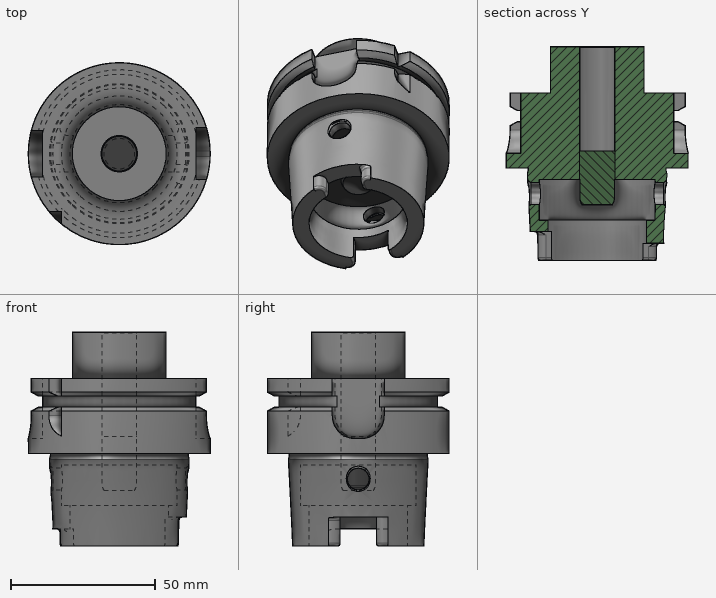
import cadquery as cq
import math

FLANGE_TOP = 26.0
BOSS_TOP = 42.0
SHANK_END = -32.0

FLANGE_RADIUS = 63.0 / 2
BOSS_RADIUS = 32.5 / 2
GROOVE_RADIUS = 55.0 / 2
GROOVE_BOTTOM = 16.1
GROOVE_TOP = 19.9
BEVEL_HEIGHT = 1.4
BEVEL_ANGLE = 60.0
BEVEL_RADIUS = FLANGE_RADIUS - BEVEL_HEIGHT * math.tan(math.radians(BEVEL_ANGLE))

NECK_RADIUS = 47.83 / 2
NECK_END = -0.75
TAPER_START = -2.0
TAPER_START_RADIUS = 48.44 / 2
TAPER_RATIO = 9.98
SHANK_END_RADIUS = TAPER_START_RADIUS + (SHANK_END - TAPER_START) / (2 * TAPER_RATIO)
CAVITY_MOUTH_RADIUS = 34.0 / 2
CAVITY_MOUTH_TOP = -18.0
CAVITY_RADIUS = 40.0 / 2
CAVITY_CEILING = -4.0

BORE_RADIUS = 12.0 / 2
BORE_CHAMFER = 0.3
PLUG_TOP = 6.0
PLUG_STRAIGHT_END = -10.95
PLUG_SHOULDER_RADIUS = 11.6 / 2
PLUG_SHOULDER_END = -11.65
PLUG_TIP_RADIUS = 10.6 / 2
PLUG_TIP_END = -12.7

SLOT_FLOOR_X = 26.5
SLOT_CUTTER_RADIUS = 8.0
SLOT_BOTTOM = 5.2
LEFT_SLOT_WIDTH = 16.0
RIGHT_SLOT_WIDTH = 18.0
NOTCH_WALL = 20.0

ACCESS_Z = -8.8
ACCESS_RADIUS = 7.5 / 2
ACCESS_CHAMFER_RADIUS = 8.9 / 2
ACCESS_CHAMFER_START = 23.0
ACCESS_CHAMFER_DEPTH = 0.9

KEYWAY_WIDTH = 12.54
KEYWAY_MOUTH_WIDTH = 20.6
LEFT_KEYWAY_DEPTH = 6.0
RIGHT_KEYWAY_DEPTH = 10.0
KEYWAY_LIP_RADIUS = 2.75
KEYWAY_ROOT_FILLET = 1.2
KEYWAY_END_FILLET = 1.0

CLEARANCE = 5.0
OUTSIDE = FLANGE_RADIUS + CLEARANCE


def turned_blank():
    """Boss, grooved flange and tapered shank, with the shank cavity and the tool bore."""
    outline = [
        (0, BOSS_TOP),
        (BOSS_RADIUS, BOSS_TOP),
        (BOSS_RADIUS, FLANGE_TOP),
        (FLANGE_RADIUS, FLANGE_TOP),
        (FLANGE_RADIUS, GROOVE_TOP + BEVEL_HEIGHT),
        (BEVEL_RADIUS, GROOVE_TOP),
        (GROOVE_RADIUS, GROOVE_TOP),
        (GROOVE_RADIUS, GROOVE_BOTTOM),
        (BEVEL_RADIUS, GROOVE_BOTTOM),
        (FLANGE_RADIUS, GROOVE_BOTTOM - BEVEL_HEIGHT),
        (FLANGE_RADIUS, 0),
        (NECK_RADIUS, 0),
        (NECK_RADIUS, NECK_END),
        (TAPER_START_RADIUS, TAPER_START),
        (SHANK_END_RADIUS, SHANK_END),
        (CAVITY_MOUTH_RADIUS, SHANK_END),
        (CAVITY_MOUTH_RADIUS, CAVITY_MOUTH_TOP),
        (CAVITY_RADIUS, CAVITY_MOUTH_TOP),
        (CAVITY_RADIUS, CAVITY_CEILING),
        (0, CAVITY_CEILING),
    ]
    blank = cq.Workplane("XZ").polyline(outline).close().revolve(360, (0, 0), (0, 1))
    bore = cq.Workplane("XY").workplane(offset=CAVITY_CEILING)
    bore = bore.circle(BORE_RADIUS).extrude(BOSS_TOP - CAVITY_CEILING)
    blank = blank.cut(bore)
    return blank.faces(">Z").edges("%CIRCLE").edges(cq.selectors.RadiusNthSelector(0)).chamfer(BORE_CHAMFER)


def gripper_slot(side, floor_x, y_center, width):
    """Round-bottomed slot, open at the top, from |x| = floor_x outward on the given side."""
    half = width / 2
    flat_half = half - SLOT_CUTTER_RADIUS
    corner_z = SLOT_BOTTOM + SLOT_CUTTER_RADIUS
    diagonal = SLOT_CUTTER_RADIUS * math.sqrt(0.5)
    middle_y = flat_half + diagonal
    middle_z = corner_z - diagonal
    profile = (
        cq.Workplane("YZ", origin=(side * floor_x, y_center, 0))
        .moveTo(-half, FLANGE_TOP)
        .lineTo(-half, corner_z)
        .threePointArc((-middle_y, middle_z), (-flat_half, SLOT_BOTTOM))
    )
    if flat_half > 0:
        profile = profile.lineTo(flat_half, SLOT_BOTTOM)
    profile = profile.threePointArc((middle_y, middle_z), (half, corner_z)).lineTo(half, FLANGE_TOP)
    return profile.close().extrude(side * (OUTSIDE - floor_x))


def access_hole(side):
    """Countersunk radial hole from the axis outward."""
    direction = cq.Vector(side, 0, 0)
    hole = cq.Solid.makeCylinder(ACCESS_RADIUS, OUTSIDE, cq.Vector(0, 0, ACCESS_Z), direction)
    sink = cq.Solid.makeCone(
        ACCESS_RADIUS,
        ACCESS_CHAMFER_RADIUS,
        ACCESS_CHAMFER_DEPTH,
        cq.Vector(side * ACCESS_CHAMFER_START, 0, ACCESS_Z),
        direction,
    )
    return cq.Workplane(hole.fuse(sink))


def rounding_profile(lip_x, lip_y):
    """Section of the material removed to round the end of a lip, beside the lip's own axis."""
    plane = cq.Plane(origin=(lip_x, lip_y, 0), xDir=(0, -1, 0), normal=(-1, 0, 0))
    inner = KEYWAY_LIP_RADIUS - KEYWAY_END_FILLET
    diagonal = KEYWAY_END_FILLET * math.sqrt(0.5)
    return (
        cq.Workplane(plane)
        .moveTo(inner, 0)
        .lineTo(KEYWAY_LIP_RADIUS, 0)
        .lineTo(KEYWAY_LIP_RADIUS, KEYWAY_END_FILLET)
        .threePointArc((inner + diagonal, KEYWAY_END_FILLET - diagonal), (inner, 0))
        .close()
    )


def keyway(depth):
    """Keyway on the +X side: a straight slot with a mouth that flares round the wall's lips."""
    half = KEYWAY_WIDTH / 2
    mouth_half = KEYWAY_MOUTH_WIDTH / 2
    lip_y = half + KEYWAY_LIP_RADIUS
    lip_x = math.sqrt((SHANK_END_RADIUS - KEYWAY_LIP_RADIUS) ** 2 - lip_y**2)
    mouth_angle = math.asin((mouth_half - lip_y) / KEYWAY_LIP_RADIUS)
    mouth_x = lip_x + KEYWAY_LIP_RADIUS * math.cos(mouth_angle)
    mid_angle = (math.pi / 2 - mouth_angle) / 2
    middle_x = lip_x + KEYWAY_LIP_RADIUS * math.sin(mid_angle)
    middle_y = lip_y - KEYWAY_LIP_RADIUS * math.cos(mid_angle)

    slot = cq.Workplane("XY").box(OUTSIDE, KEYWAY_WIDTH, depth, centered=(False, True, False))
    flare = (
        cq.Workplane("XY")
        .moveTo(lip_x, -half)
        .threePointArc((middle_x, -middle_y), (mouth_x, -mouth_half))
        .lineTo(OUTSIDE, -mouth_half)
        .lineTo(OUTSIDE, mouth_half)
        .lineTo(mouth_x, mouth_half)
        .threePointArc((middle_x, middle_y), (lip_x, half))
        .close()
        .extrude(depth)
        .faces(">Z")
        .edges("%CIRCLE")
        .edges("<Y")
        .fillet(KEYWAY_ROOT_FILLET)
    )
    wall_rounding = rounding_profile(lip_x, lip_y).extrude(lip_x)
    lip_sweep = 90 + math.degrees(mouth_angle)
    lip_rounding = rounding_profile(lip_x, lip_y).revolve(lip_sweep, (0, 0), (0, 1))

    cutter = slot.union(flare)
    for end_rounding in (wall_rounding, lip_rounding):
        cutter = cutter.union(end_rounding).union(end_rounding.mirror("XZ"))
    return cutter.translate((0, 0, SHANK_END))


def make_holder():
    """Tool holder: the turned blank with its keyways, gripper slots, notch and access holes."""
    holder = turned_blank()
    holder = holder.cut(keyway(RIGHT_KEYWAY_DEPTH))
    holder = holder.cut(keyway(LEFT_KEYWAY_DEPTH).mirror("YZ"))
    holder = holder.cut(gripper_slot(-1, SLOT_FLOOR_X, 0, LEFT_SLOT_WIDTH))
    holder = holder.cut(gripper_slot(1, SLOT_FLOOR_X, 0, RIGHT_SLOT_WIDTH))
    notch_y = -NOTCH_WALL - SLOT_CUTTER_RADIUS
    holder = holder.cut(gripper_slot(-1, NOTCH_WALL, notch_y, LEFT_SLOT_WIDTH))
    for side in (-1, 1):
        holder = holder.cut(access_hole(side))
    return holder


def make_stop_plug():
    """Plug that closes the tool bore and ends in two tapered steps inside the shank cavity."""
    outline = [
        (0, PLUG_TOP),
        (BORE_RADIUS, PLUG_TOP),
        (BORE_RADIUS, PLUG_STRAIGHT_END),
        (PLUG_SHOULDER_RADIUS, PLUG_SHOULDER_END),
        (PLUG_TIP_RADIUS, PLUG_TIP_END),
        (0, PLUG_TIP_END),
    ]
    return cq.Workplane("XZ").polyline(outline).close().revolve(360, (0, 0), (0, 1))


holder = make_holder()
stop_plug = make_stop_plug()
result = cq.Compound.makeCompound([holder.val(), stop_plug.val()])